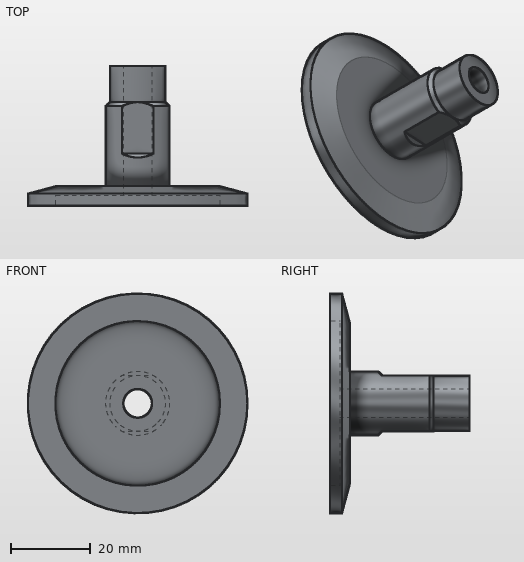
import cadquery as cq
import math

flange_diameter = 55.0
rim_thickness = 3.0
flange_thickness = 5.0
cone_angle = 15.0
recess_diameter = 41.2
recess_depth = 2.6

overall_length = 35.0
body_diameter = 16.0
spigot_diameter = 13.9
spigot_length = 9.0
bore_diameter = 7.1

flat_distance = 7.0
flat_start = 13.1

flange_radius = flange_diameter / 2
body_radius = body_diameter / 2
spigot_radius = spigot_diameter / 2
body_end = overall_length - spigot_length
body_chamfer = body_radius - spigot_radius
cone_height = flange_thickness - rim_thickness
cone_top_radius = flange_radius - cone_height / math.tan(math.radians(cone_angle))


def make_turned_body():
    """Revolve the bored, recessed half profile about the Y axis."""
    bore_radius = bore_diameter / 2
    recess_radius = recess_diameter / 2
    profile = [
        (bore_radius, recess_depth),
        (recess_radius, recess_depth),
        (recess_radius, 0),
        (flange_radius, 0),
        (flange_radius, rim_thickness),
        (cone_top_radius, flange_thickness),
        (body_radius, flange_thickness),
        (body_radius, body_end - body_chamfer),
        (spigot_radius, body_end),
        (spigot_radius, overall_length),
        (bore_radius, overall_length),
    ]
    return cq.Workplane("XY").polyline(profile).close().revolve(360, (0, 0), (0, 1))


def make_flat_cutter(side):
    """Cutter for one flat with a 45 degree run-out; side is +1 or -1 along Z."""
    cut_height = body_radius
    section = [
        (flat_start, side * flat_distance),
        (body_end, side * flat_distance),
        (body_end, side * (flat_distance + cut_height)),
        (flat_start - cut_height, side * (flat_distance + cut_height)),
    ]
    return cq.Workplane("YZ").polyline(section).close().extrude(body_radius, both=True)


result = make_turned_body()
for side in (1, -1):
    result = result.cut(make_flat_cutter(side))